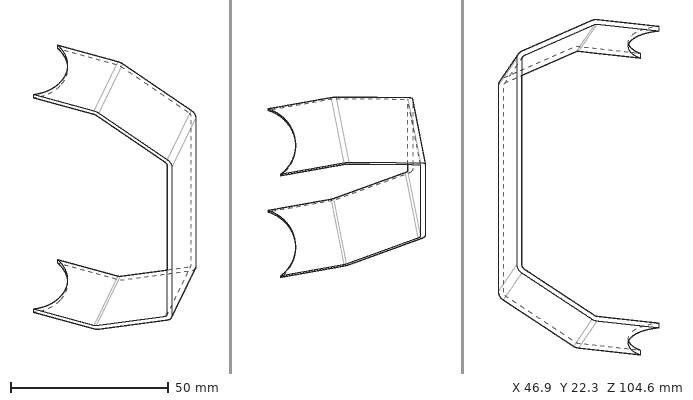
import cadquery as cq
import math

height = 104.6
depth = 46.9
width = 22.3

thickness = 1.7
inner_bend_radius = 1.6
outer_bend_radius = inner_bend_radius + thickness
slope_angle = math.radians(30)

leg_length = 21.3

notch_depth = 6.7
notch_radius = ((width / 2) ** 2 + notch_depth ** 2) / (2 * notch_depth)


def bent_outline(inset, bend_radius):
    """Rounded channel face, inset from the outer surface and closed across the open side."""
    half_height = height / 2 - inset
    back_x = depth - inset
    leg_corner_x = leg_length - inset * math.tan(slope_angle / 2)
    slope_drop = (back_x - leg_corner_x) * math.tan(slope_angle)
    shoulder_z = half_height - slope_drop
    corners = [
        (0, half_height),
        (leg_corner_x, half_height),
        (back_x, shoulder_z),
        (back_x, -shoulder_z),
        (leg_corner_x, -half_height),
        (0, -half_height),
    ]
    solid = cq.Workplane("XZ").polyline(corners).close().extrude(width / 2, both=True)
    bends = cq.selectors.BoxSelector(
        (leg_corner_x / 2, -width, -height), (2 * depth, width, height)
    )
    return solid.edges("|Y").edges(bends).fillet(bend_radius)


def notch_cutter():
    """Vertical cylinder whose wall meets the front corners of both legs."""
    return (
        cq.Workplane("XY")
        .center(notch_depth - notch_radius, 0)
        .circle(notch_radius)
        .extrude(height, both=True)
    )


strip = bent_outline(0, outer_bend_radius).cut(bent_outline(thickness, inner_bend_radius))
result = strip.cut(notch_cutter())